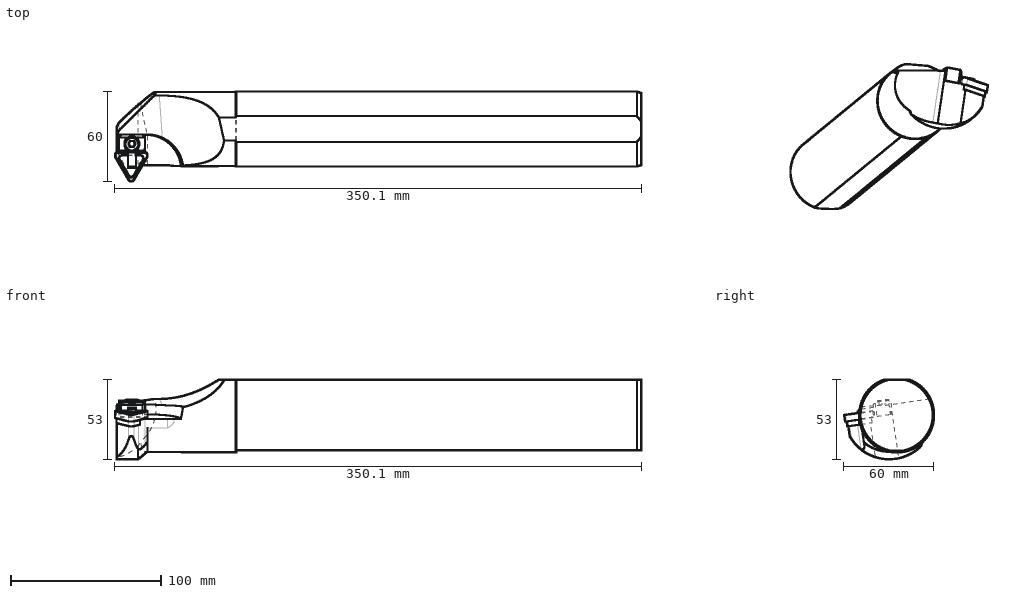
import cadquery as cq
import math

bar_length = 349.0
shank_radius = 25.0
head_radius = 24.75
head_length = 79.6
neck_taper_length = 0.6
flat_height = 23.5
end_chamfer_length = 3.0
end_chamfer_depth = 1.0

tilt_angle = 8.4

nose_radius = 30.0
nose_center_y = -5.0
nose_center_z = 0.5
nose_length = 14.4
nose_taper_length = 6.0
nose_taper_depth = 5.0

face_height = 7.4
floor_height = 1.0
seat_height = -2.7

runout_start = 30.0
runout_radius = 58.0
runout_sweep = 52.0
runout_skew = 4.0

cut_reach = 60.0

pocket_radius = 22.8
pocket_center_x = 20.0
pocket_wall_y = -3.8
pocket_wall_lean = 12.0
pocket_cut_height = 12.0

bevel_start_y = 0.2
corner_break = 1.6
corner_break_width = 3.0
relief_y = -24.2
relief_fillet = 5.0
relief_end = 33.7
relief_runout_slope = 0.12

insert_tip_angle = 60.0
tip_directions = (-90, 30, 150)
insert_center_x = 9.75
insert_center_y = -22.4
insert_inradius = 7.1
insert_tip_radius = 2.0
insert_bottom = 0.6
insert_thickness = 4.6
groove_inset = 1.6
groove_depth = 0.5
shim_inset = 0.5
nose_inset = 0.8

clamp_center_x = 10.15
clamp_length = 17.2
clamp_front_y = -14.5
clamp_back_y = -2.5
clamp_top = 10.4
clamp_chamfer = 1.5
screw_radius = 5.0
screw_height = 0.8
screw_chamfer = 0.7
socket_size = 4.6
socket_depth = 3.0
finger_width = 5.4
finger_height = 2.6
finger_end_y = -25.5

insert_top = insert_bottom + insert_thickness


def tilted(shape):
    """Turn a shape from the cutting-plane frame into the bar frame."""
    return shape.rotate((0, 0, 0), (1, 0, 0), tilt_angle)


def plan_prism(outline, bottom, top):
    """Extrude a closed plan outline between two heights of the tilted frame."""
    return tilted(outline.extrude(top - bottom).translate((0, 0, bottom)))


def make_bar():
    """Round bar with a slimmer head and a chamfered rear end."""
    taper_start = head_length - neck_taper_length
    profile = [
        (0, 0),
        (0, head_radius),
        (taper_start, head_radius),
        (head_length, shank_radius),
        (bar_length - end_chamfer_length, shank_radius),
        (bar_length, shank_radius - end_chamfer_depth),
        (bar_length, 0),
    ]
    return cq.Workplane("XY").polyline(profile).close().revolve(360, (0, 0, 0), (1, 0, 0))


def flat_cut(start_x, side):
    """Block that leaves a flat on the +Z (side=1) or -Z (side=-1) face of the bar."""
    depth = shank_radius
    length = bar_length - start_x
    block = cq.Workplane("XY").box(length, 2 * shank_radius, depth, centered=(False, True, True))
    return block.translate((start_x, 0, side * (flat_height + depth / 2)))


def make_nose():
    """Short, larger cylinder that backs the insert, tapering into the head."""
    profile = [
        (0, 0),
        (0, nose_radius),
        (nose_length, nose_radius),
        (nose_length + nose_taper_length, nose_radius - nose_taper_depth),
        (nose_length + nose_taper_length, 0),
    ]
    nose = cq.Workplane("XY").polyline(profile).close().revolve(360, (0, 0, 0), (1, 0, 0))
    return nose.translate((0, nose_center_y, nose_center_z))


def chip_face_cut():
    """Flat chip face that curves up and out of the bar in one tangent arc."""
    sweep = math.radians(runout_sweep)
    end_x = runout_start + runout_radius * math.sin(sweep)
    end_height = face_height + runout_radius * (1 - math.cos(sweep))
    outline = (
        cq.Workplane("XZ", origin=(0, cut_reach, 0))
        .moveTo(-cut_reach, face_height)
        .lineTo(runout_start, face_height)
        .tangentArcPoint((end_x, end_height), relative=False)
        .lineTo(-cut_reach, end_height)
        .close()
    )
    cut = outline.extrude(2 * cut_reach)
    return tilted(cut.rotate((0, 0, 0), (0, 0, 1), runout_skew))


def pocket_cut():
    """Pocket around the insert, with a round wall that leans outwards."""
    end_x = pocket_center_x + pocket_radius
    outline = (
        cq.Workplane("XY")
        .moveTo(-cut_reach, pocket_wall_y)
        .lineTo(pocket_center_x, pocket_wall_y)
        .threePointArc(
            (
                pocket_center_x + pocket_radius * math.sin(math.pi / 4),
                pocket_wall_y - pocket_radius * (1 - math.cos(math.pi / 4)),
            ),
            (end_x, pocket_wall_y - pocket_radius),
        )
        .lineTo(end_x, -cut_reach)
        .lineTo(-cut_reach, -cut_reach)
        .close()
    )
    cut = outline.extrude(pocket_cut_height, taper=-pocket_wall_lean)
    return tilted(cut.translate((0, 0, floor_height)))


def bevel_cut():
    """Bevel at 45 degrees across the front corner of the head, with a small break at its end."""
    break_y = bevel_start_y - corner_break_width
    outline = cq.Workplane("XY").polyline([
        (0, break_y),
        (corner_break, bevel_start_y),
        (corner_break + cut_reach, bevel_start_y + cut_reach),
        (-cut_reach, bevel_start_y + cut_reach),
        (-cut_reach, break_y),
    ]).close()
    return plan_prism(outline, -cut_reach, cut_reach)


def triangle_prism(inset, bottom, top):
    """Round-cornered triangle of the insert, shrunk by an inset, pointing towards -Y."""
    inradius = insert_inradius - inset
    corner_distance = 2 * inradius
    corners = []
    for angle in tip_directions:
        turn = math.radians(angle)
        corner_x = insert_center_x + corner_distance * math.cos(turn)
        corner_y = insert_center_y + corner_distance * math.sin(turn)
        corners.append((corner_x, corner_y))
    prism = cq.Workplane("XY").polyline(corners).close().extrude(top - bottom)
    prism = prism.edges("|Z").fillet(insert_tip_radius)
    return tilted(prism.translate((0, 0, bottom)))


def nose_relief_cut():
    """Clears both flanks of the nose and leaves a flat along the head side."""
    slope = math.tan(math.radians(insert_tip_angle))
    tip_y = insert_center_y - 2 * (insert_inradius - nose_inset)
    relief_x = insert_center_x + (relief_y - tip_y) / slope
    outline = cq.Workplane("XY").polyline([
        (-cut_reach, tip_y + (insert_center_x + cut_reach) * slope),
        (insert_center_x, tip_y),
        (relief_x, relief_y),
        (relief_end, relief_y),
        (relief_end + cut_reach, relief_y - cut_reach * relief_runout_slope),
        (relief_end + cut_reach, -cut_reach),
        (-cut_reach, -cut_reach),
    ]).close()
    block = outline.extrude(2 * cut_reach)
    tip = cq.selectors.NearestToPointSelector((insert_center_x, tip_y, cut_reach))
    root = cq.selectors.NearestToPointSelector((relief_x, relief_y, cut_reach))
    block = block.edges("|Z").edges(tip).fillet(insert_tip_radius)
    block = block.edges("|Z").edges(root).fillet(relief_fillet)
    return tilted(block.translate((0, 0, -cut_reach)))


def make_clamp():
    """Clamp block with its screw head and the finger that presses on the insert."""
    width = clamp_back_y - clamp_front_y
    center_y = (clamp_back_y + clamp_front_y) / 2
    block = cq.Workplane("XY").box(clamp_length, width, clamp_top, centered=(True, True, False))
    block = block.edges("|Z or (|X and >Z)").chamfer(clamp_chamfer)
    screw = cq.Workplane("XY").circle(screw_radius).extrude(clamp_top + screw_height)
    screw = screw.faces(">Z").chamfer(screw_chamfer)
    socket = cq.Workplane("XY").polygon(6, socket_size).extrude(socket_depth)
    socket = socket.translate((0, 0, clamp_top + screw_height - socket_depth))
    finger_length = center_y - finger_end_y
    finger = cq.Workplane("XY").box(finger_width, finger_length, finger_height, centered=(True, False, False))
    finger = finger.edges("|X and >Z and <Y").chamfer(clamp_chamfer)
    finger = finger.translate((0, -finger_length, insert_top - groove_depth))
    clamp = block.union(screw).cut(socket).union(finger)
    return tilted(clamp.translate((clamp_center_x, center_y, 0)))


def make_holder():
    """Bar, nose, shim and clamp as one body, with a seat for the insert."""
    holder = make_bar().union(make_nose())
    holder = holder.cut(flat_cut(0, 1)).cut(flat_cut(head_length, -1))
    holder = holder.cut(chip_face_cut()).cut(pocket_cut()).cut(bevel_cut()).cut(nose_relief_cut())
    shim = triangle_prism(shim_inset, seat_height, insert_bottom)
    holder = holder.union(shim).union(make_clamp())
    return holder.cut(make_insert())


def make_insert():
    """Triangular insert with a shallow chip recess inside its cutting edges."""
    body = triangle_prism(0, insert_bottom, insert_top)
    return body.cut(triangle_prism(groove_inset, insert_top - groove_depth, insert_top))


holder = make_holder()
insert = make_insert()
result = cq.Compound.makeCompound([holder.val(), insert.val()])